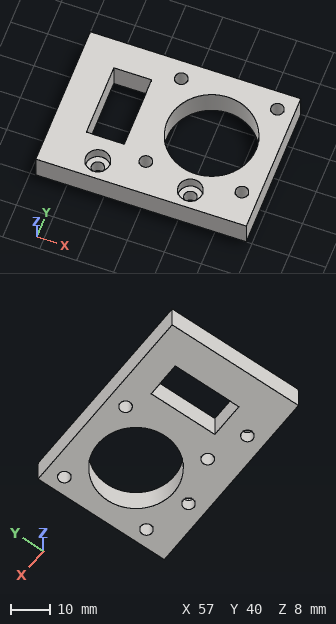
import cadquery as cq

length = 57.0
width = 40.0
thickness = 8.0

bore_x = 39.5
bore_y = 22.0
bore_diameter = 24.0
pattern_pitch = 26.0
hole_diameter = 3.4

window_left = 9.35
window_length = 10.2
window_width = 20.1
window_x = window_left + window_length / 2

mount_first_x = 15.0
mount_spacing = 25.0
mount_y = 5.0
counterbore_diameter = 6.5
counterbore_depth = 3.5
mount_points = [(mount_first_x + i * mount_spacing, mount_y) for i in range(2)]

plate = cq.Workplane("XY").box(length, width, thickness, centered=False)


def top_plane():
    """Workplane on the top face, measured from the plate corner."""
    return cq.Workplane("XY", origin=(0, 0, thickness))


bore = top_plane().center(bore_x, bore_y).circle(bore_diameter / 2).extrude(-thickness)

pattern_holes = (
    top_plane()
    .center(bore_x, bore_y)
    .rarray(pattern_pitch, pattern_pitch, 2, 2)
    .circle(hole_diameter / 2)
    .extrude(-thickness)
)

window = (
    top_plane()
    .center(window_x, bore_y)
    .rect(window_length, window_width)
    .extrude(-thickness)
)

mount_holes = top_plane().pushPoints(mount_points).circle(hole_diameter / 2).extrude(-thickness)
counterbores = (
    top_plane()
    .pushPoints(mount_points)
    .circle(counterbore_diameter / 2)
    .extrude(-counterbore_depth)
)

result = plate.cut(bore).cut(pattern_holes).cut(window).cut(mount_holes).cut(counterbores)